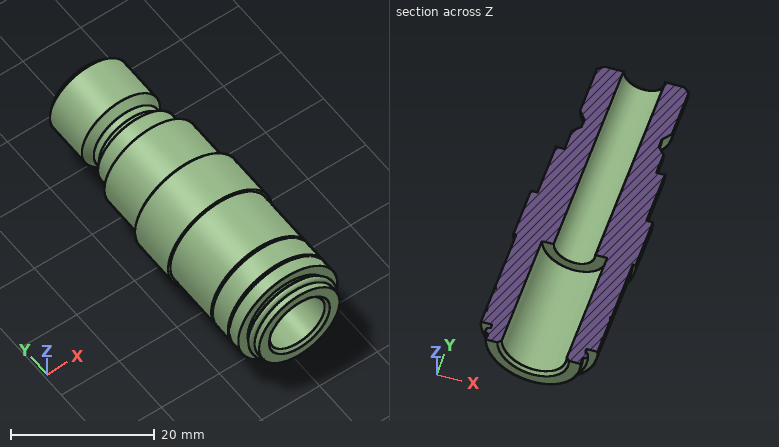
import cadquery as cq

total_length = 50.5
socket_neck_end = 2.75
body_end = 18.75
flange_end = 26.7
sleeve_end = 35.1
waist_ramp_start = 38.35
waist_start = 39.55
waist_end = 40.75
plug_head_start = 42.1

socket_neck_radius = 6.95
body_radius = 8.6
flange_radius = 9.0
sleeve_radius = 8.05
plug_radius = 6.75
waist_radius = 5.7

flange_chamfer = 0.15
plug_chamfer = 0.8
plug_tip_fillet = 1.1

ring_center = 1.6
ring_section_radius = 0.55
ring_outer_radius = 7.5

groove_centers = (5.05, 9.0)
groove_width = 0.25
groove_depth = 0.15

through_radius = 3.05
socket_radius = 4.75
socket_depth = body_end
mouth_chamfer = 0.5


def revolve_about_y(profile):
    """Turn a closed profile of (radius, Y) about the Y axis."""
    return profile.close().revolve(360, (0, 0, 0), (0, 1, 0))


def outer_body():
    points = [
        (0, 0),
        (socket_neck_radius, 0),
        (socket_neck_radius, socket_neck_end),
        (body_radius, socket_neck_end),
        (body_radius, body_end),
        (flange_radius, body_end),
        (flange_radius, flange_end - flange_chamfer),
        (flange_radius - flange_chamfer, flange_end),
        (sleeve_radius, flange_end),
        (sleeve_radius, sleeve_end),
        (plug_radius, sleeve_end),
        (plug_radius, waist_ramp_start),
        (waist_radius, waist_start),
        (waist_radius, waist_end),
        (plug_radius, plug_head_start),
        (plug_radius, total_length - plug_chamfer),
        (plug_radius - plug_chamfer, total_length),
        (0, total_length),
    ]
    body = revolve_about_y(cq.Workplane("XY").polyline(points))
    return body.faces(">Y").edges().fillet(plug_tip_fillet)


def neck_ring():
    center_radius = ring_outer_radius - ring_section_radius
    section = cq.Workplane("XY").center(center_radius, ring_center).circle(ring_section_radius)
    return section.revolve(360, (-center_radius, 0, 0), (-center_radius, 1, 0))


def body_groove(center):
    inner_radius = body_radius - groove_depth
    start = center - groove_width / 2
    end = center + groove_width / 2
    points = [
        (inner_radius, start),
        (flange_radius, start),
        (flange_radius, end),
        (inner_radius, end),
    ]
    return revolve_about_y(cq.Workplane("XY").polyline(points))


def stepped_bore():
    points = [
        (0, 0),
        (socket_radius + mouth_chamfer, 0),
        (socket_radius, mouth_chamfer),
        (socket_radius, socket_depth),
        (through_radius, socket_depth),
        (through_radius, total_length),
        (0, total_length),
    ]
    return revolve_about_y(cq.Workplane("XY").polyline(points))


result = outer_body().union(neck_ring())
for groove_center in groove_centers:
    result = result.cut(body_groove(groove_center))
result = result.cut(stepped_bore())

result = result.translate((0, -total_length / 2, 0))